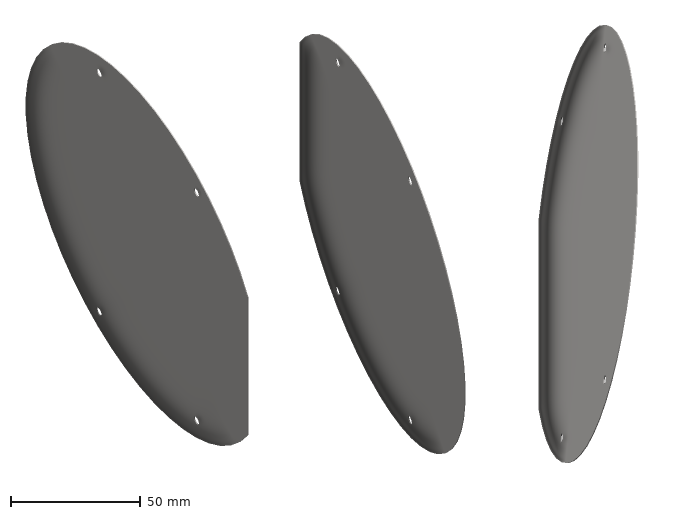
import cadquery as cq
import math

disc_radius = 85.0
flat_distance = 75.0
thickness = 0.41

hole_diameter = 3.5
left_hole_x = -32.0
left_hole_height = 69.0
right_hole_x = 38.2
right_hole_height = 65.9


def make_disc():
    """Disc centred on the origin, cut off straight at the flat edge."""
    flat_half_length = math.sqrt(disc_radius**2 - flat_distance**2)
    return (
        cq.Workplane("XZ")
        .moveTo(flat_distance, -flat_half_length)
        .lineTo(flat_distance, flat_half_length)
        .threePointArc((-disc_radius, 0), (flat_distance, -flat_half_length))
        .close()
        .extrude(thickness / 2, both=True)
    )


def make_hole_pair(x, height):
    """Two cylinders through the disc, at equal heights above and below the X axis."""
    return (
        cq.Workplane("XZ")
        .pushPoints([(x, height), (x, -height)])
        .circle(hole_diameter / 2)
        .extrude(thickness, both=True)
    )


left_holes = make_hole_pair(left_hole_x, left_hole_height)
right_holes = make_hole_pair(right_hole_x, right_hole_height)

result = make_disc().cut(left_holes).cut(right_holes)